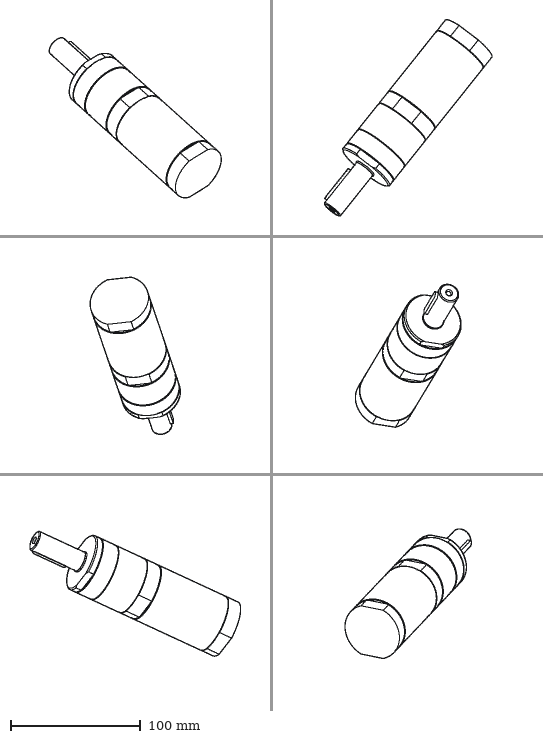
import cadquery as cq

total_length = 171.5
body_diameter = 46.0
body_start = 42.0
front_chamfer = 1.0

front_cap_end = 47.7
ring_joint = 62.0
wrench_band_start = 88.0
wrench_band_end = 99.8
rear_cap_start = 160.7
joint_chamfer = 0.5

across_flats = 42.0

shaft_diameter = 16.0
tip_chamfer_length = 0.7
tip_diameter = 13.9
cone_end_diameter = 16.3
cone_length = 1.0
collar_diameter = 17.0
collar_length = 1.2

hole_diameter = 4.0
hole_depth = 13.7
countersink_diameter = 5.5
countersink_depth = 1.4

key_start = 3.8
key_length = 30.0
key_width = 5.0
key_top = 10.0


def cylinder_x(start, end, diameter):
    """Cylinder along the X axis from start to end."""
    return cq.Workplane("YZ", origin=(start, 0, 0)).circle(diameter / 2).extrude(end - start)


def revolve_about_x(outline):
    """Solid of revolution about X from a closed outline of (x, radius) points."""
    return cq.Workplane("XY").polyline(outline).close().revolve(360, (0, 0, 0), (1, 0, 0))


def housing_section(start, end, start_chamfer, end_chamfer):
    """Round section with its rims chamfered; a zero chamfer leaves the rim sharp."""
    section = cylinder_x(start, end, body_diameter)
    if start_chamfer:
        section = section.faces("<X").chamfer(start_chamfer)
    if end_chamfer:
        section = section.faces(">X").chamfer(end_chamfer)
    return section


def with_flats(section):
    """Trim a section to the wrench size across Z."""
    slab = cq.Workplane("XY").box(
        total_length, body_diameter, across_flats, centered=(False, True, True)
    )
    return section.intersect(slab)


def make_housing():
    front_cap = housing_section(body_start, front_cap_end, front_chamfer, 0)
    ring = housing_section(front_cap_end, ring_joint, joint_chamfer, joint_chamfer)
    gearbox = housing_section(ring_joint, wrench_band_start, 0, joint_chamfer)
    wrench_band = housing_section(wrench_band_start, wrench_band_end, 0, 0)
    motor = housing_section(wrench_band_end, rear_cap_start, joint_chamfer, joint_chamfer)
    rear_cap = housing_section(rear_cap_start, total_length, 0, 0)

    housing = with_flats(front_cap)
    for section in (ring, gearbox, with_flats(wrench_band), motor, with_flats(rear_cap)):
        housing = housing.union(section)
    return housing


def make_shaft():
    """Shaft with a bevelled tip, widening through a short cone to a collar at the housing."""
    collar_start = body_start - collar_length
    return revolve_about_x([
        (0, 0),
        (0, tip_diameter / 2),
        (tip_chamfer_length, shaft_diameter / 2),
        (collar_start - cone_length, shaft_diameter / 2),
        (collar_start, cone_end_diameter / 2),
        (collar_start, collar_diameter / 2),
        (body_start, collar_diameter / 2),
        (body_start, 0),
    ])


def make_key():
    """Round-ended key standing out of the shaft from its axis."""
    key_centre = key_start + key_length / 2
    return (
        cq.Workplane("XZ", origin=(key_centre, 0, 0))
        .slot2D(key_length, key_width)
        .extrude(-key_top)
    )


def make_centre_hole():
    """Blind hole with a steep conical countersink, opening at the shaft tip."""
    return revolve_about_x([
        (0, 0),
        (0, countersink_diameter / 2),
        (countersink_depth, hole_diameter / 2),
        (hole_depth, hole_diameter / 2),
        (hole_depth, 0),
    ])


result = make_housing().union(make_shaft()).union(make_key()).cut(make_centre_hole())